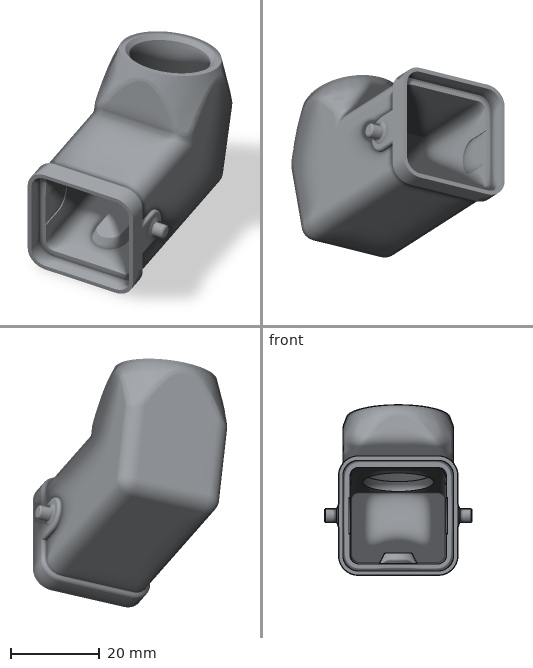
import cadquery as cq
import math


TUBE_SIZE = 25.0
TUBE_EDGE_RADIUS = 3.5
NECK_TILT = 15.0
NECK_DEPTH = 25.0
NECK_FRONT_Y = 27.55
NECK_INNER_CORNER_RADIUS = 1.0
NECK_TOP_Z = 25.07

RIM_RADIUS = 11.7
CONE_HALF_ANGLE = 20.0
CONE_LENGTH = 13.0
CONE_CUT_RADIUS = 17.5
CONE_EDGE_RADIUS = 2.2

BORE_RADIUS = 9.25
BORE_CHAMFER = 1.0
BORE_DEPTH = 12.7
THROAT_RADIUS = 8.05
THROAT_DEPTH = 15.0

CAVITY_SIZE = 21.8
CAVITY_CORNER_RADIUS = 2.0
CAVITY_DRAFT = 0.5
BACK_WALL = 3.0
CEILING_EDGE_RADIUS = 1.6
BACK_EDGE_RADIUS = 0.25
POCKET_DEPTH = 0.2
POCKET_RADIUS = 4.1

RIB_WIDTH = 8.6
RIB_HEIGHT = 2.5
RIB_DRAFT = 27.0
RIB_EDGE_RADIUS = 0.4
RIB_FRONT_Y = 9.9

COLLAR_WALL = 1.0
COLLAR_LENGTH = 5.3
COLLAR_EDGE_RADIUS = 0.9
MOUTH_DEPTH = 4.0
PIN_Y = 9.7
TAB_RADIUS = 4.15
TAB_START_Y = 4.0
TAB_EDGE_RADIUS = 0.6
PIN_SPAN = 33.4
PIN_RADIUS = 1.57
PIN_CHAMFER = 0.3
PIN_FOOT_RADIUS = 2.57
PIN_FOOT_HEIGHT = 0.4

THROAT_OVERRUN = 1.0
REACH = 60.0

tilt = math.radians(NECK_TILT)
half_tube = TUBE_SIZE / 2
half_cavity = CAVITY_SIZE / 2
collar_size = TUBE_SIZE + 2 * COLLAR_WALL
collar_corner_radius = TUBE_EDGE_RADIUS + COLLAR_WALL
half_collar = collar_size / 2

neck_center_on_top_y = NECK_FRONT_Y + NECK_DEPTH / 2 / math.cos(tilt)
rim_center_z = NECK_TOP_Z - RIM_RADIUS * math.sin(tilt)
rim_center_y = neck_center_on_top_y + (rim_center_z - half_tube) * math.tan(tilt)
neck_plane = cq.Plane(
    origin=(0, rim_center_y, rim_center_z),
    xDir=(1, 0, 0),
    normal=(0, math.sin(tilt), math.cos(tilt)),
)


def neck_point(across, depth):
    """(Y, Z) of a point in the middle plane of the neck.

    across is measured from the axis towards the back, depth from the rim down.
    """
    y = rim_center_y + across * math.cos(tilt) - depth * math.sin(tilt)
    z = rim_center_z - across * math.sin(tilt) - depth * math.cos(tilt)
    return y, z


def wall_y(across, z):
    """Y at height z of a plane parallel to the neck axis."""
    return rim_center_y + across / math.cos(tilt) + (z - rim_center_z) * math.tan(tilt)


def elbow_block():
    """Solid tube and neck, before the end of the neck is turned conical."""
    half_depth = NECK_DEPTH / 2
    outline = [
        (MOUTH_DEPTH, -half_tube),
        (MOUTH_DEPTH, half_tube),
        (NECK_FRONT_Y, half_tube),
        neck_point(-half_depth, 0),
        neck_point(half_depth, 0),
        (wall_y(half_depth, -half_tube), -half_tube),
    ]
    block = cq.Workplane("YZ").polyline(outline).close().extrude(half_tube, both=True)

    end_edges = cq.selectors.SumSelector(
        cq.selectors.ParallelDirSelector(cq.Vector(0, 0, 1)),
        cq.selectors.ParallelDirSelector(neck_plane.yDir),
    )
    side_edges = block.faces("<X or >X").edges(cq.selectors.InverseSelector(end_edges))
    heel_edge = block.edges("|X").edges("<Z").edges(">Y")
    block = side_edges.add(heel_edge).fillet(TUBE_EDGE_RADIUS)

    inner_corner = cq.selectors.NearestToPointSelector((0, NECK_FRONT_Y, half_tube))
    return block.edges(inner_corner).fillet(NECK_INNER_CORNER_RADIUS)


def turn_neck_end(block):
    """Trim the neck to a cone below the rim and round the edges this leaves."""
    base_radius = RIM_RADIUS + CONE_LENGTH * math.tan(math.radians(CONE_HALF_ANGLE))
    cone = cq.Solid.makeCone(
        RIM_RADIUS, base_radius, CONE_LENGTH, neck_plane.origin, -neck_plane.zDir
    )
    cylinder = cq.Workplane(neck_plane).circle(CONE_CUT_RADIUS).extrude(-CONE_LENGTH)
    waste = cylinder.cut(cq.Workplane(cone))
    trimmed = block.cut(waste)
    cone_edges = trimmed.faces("%CONE").edges("%HYPERBOLA or %BSPLINE")
    return cone_edges.fillet(CONE_EDGE_RADIUS)


def neck_bore():
    """Space for the cable fitting: lead-in chamfer, bore and narrower throat."""
    bore = cq.Workplane(neck_plane).circle(BORE_RADIUS).extrude(-BORE_DEPTH)
    throat = cq.Workplane(neck_plane).circle(THROAT_RADIUS).extrude(-THROAT_DEPTH - THROAT_OVERRUN)
    lead_in = cq.Workplane(
        cq.Solid.makeCone(
            BORE_RADIUS + BORE_CHAMFER, BORE_RADIUS, BORE_CHAMFER, neck_plane.origin, -neck_plane.zDir
        )
    )
    return bore.union(throat).union(lead_in)


def floor_rib():
    """Rib with sloping sides and a half-cone front end, running into the back wall."""
    straight_length = REACH - RIB_FRONT_Y
    return (
        cq.Workplane("XY", origin=(0, RIB_FRONT_Y + straight_length / 2, -half_cavity))
        .slot2D(straight_length, RIB_WIDTH, 90)
        .extrude(RIB_HEIGHT, taper=RIB_DRAFT)
        .faces(">Z")
        .edges()
        .fillet(RIB_EDGE_RADIUS)
    )


def tab_outline(radius, x):
    """Tongue around the pin axis in the plane at x, from the mouth side to a round end."""
    return (
        cq.Workplane("YZ", origin=(x, 0, 0))
        .moveTo(TAB_START_Y, -radius)
        .lineTo(PIN_Y, -radius)
        .threePointArc((PIN_Y + radius, 0), (PIN_Y, radius))
        .lineTo(TAB_START_Y, radius)
        .close()
    )


def cavity():
    """Drafted square hollow, closed by the tilted ceiling and back wall."""
    hollow = (
        cq.Workplane("XZ", origin=(0, MOUTH_DEPTH, 0))
        .rect(CAVITY_SIZE, CAVITY_SIZE)
        .extrude(-REACH, taper=CAVITY_DRAFT)
        .edges("not #Y")
        .fillet(CAVITY_CORNER_RADIUS)
    )
    back = NECK_DEPTH / 2 - BACK_WALL
    ceiling_back = neck_point(back, THROAT_DEPTH)
    ceiling_front = neck_point(-REACH, THROAT_DEPTH)
    side = [
        (MOUTH_DEPTH, -REACH),
        (MOUTH_DEPTH, ceiling_front[1]),
        ceiling_front,
        ceiling_back,
        (wall_y(back, -REACH), -REACH),
    ]
    limit = cq.Workplane("YZ").polyline(side).close().extrude(REACH, both=True)
    space = hollow.intersect(limit)
    ceiling = space.faces(cq.selectors.DirectionMinMaxSelector(neck_plane.zDir, True))
    space = ceiling.edges("not |X").fillet(CEILING_EDGE_RADIUS)
    space = space.faces(">Y").edges().fillet(BACK_EDGE_RADIUS)
    return space.cut(floor_rib())


def housing_body():
    """Tube and neck with the bore, the cavity and a shallow pocket behind each pin."""
    body = turn_neck_end(elbow_block()).cut(neck_bore()).cut(cavity())
    pocket_half = half_cavity + POCKET_DEPTH
    pockets = tab_outline(POCKET_RADIUS, -pocket_half).extrude(2 * pocket_half)
    return body.cut(pockets)


def pin(side):
    """Locking pin on a conical foot; side is -1 or 1 for the -X or +X face."""
    foot = cq.Solid.makeCone(
        PIN_FOOT_RADIUS, PIN_RADIUS, PIN_FOOT_HEIGHT,
        cq.Vector(side * half_collar, PIN_Y, 0), cq.Vector(side, 0, 0),
    )
    shaft = (
        cq.Workplane("YZ", origin=(side * half_collar, PIN_Y, 0))
        .circle(PIN_RADIUS)
        .extrude(side * (PIN_SPAN / 2 - half_collar))
        .faces(">X" if side > 0 else "<X")
        .chamfer(PIN_CHAMFER)
    )
    return shaft.union(cq.Workplane(foot))


def tab(side):
    """Tongue that carries a pin and lies on one side face of the tube."""
    plate = tab_outline(TAB_RADIUS, side * half_tube).extrude(side * COLLAR_WALL)
    outer_face = plate.faces(">X" if side > 0 else "<X")
    return outer_face.edges("not |Z").fillet(TAB_EDGE_RADIUS)


def collar_body():
    """Square ring around the tube end, with a tab and a pin on each side."""
    ring = (
        cq.Workplane("XZ")
        .rect(collar_size, collar_size)
        .extrude(-COLLAR_LENGTH)
        .edges("|Y")
        .fillet(collar_corner_radius)
        .faces(">Y")
        .edges()
        .fillet(COLLAR_EDGE_RADIUS)
    )
    opening = cq.Workplane("XZ").rect(TUBE_SIZE, TUBE_SIZE).extrude(-COLLAR_LENGTH)
    ring = ring.cut(opening.edges("|Y").fillet(TUBE_EDGE_RADIUS))
    for side in (-1, 1):
        ring = ring.union(tab(side)).union(pin(side))
    return ring


housing = housing_body()
collar = collar_body()

result = cq.Compound.makeCompound([housing.val(), collar.val()])